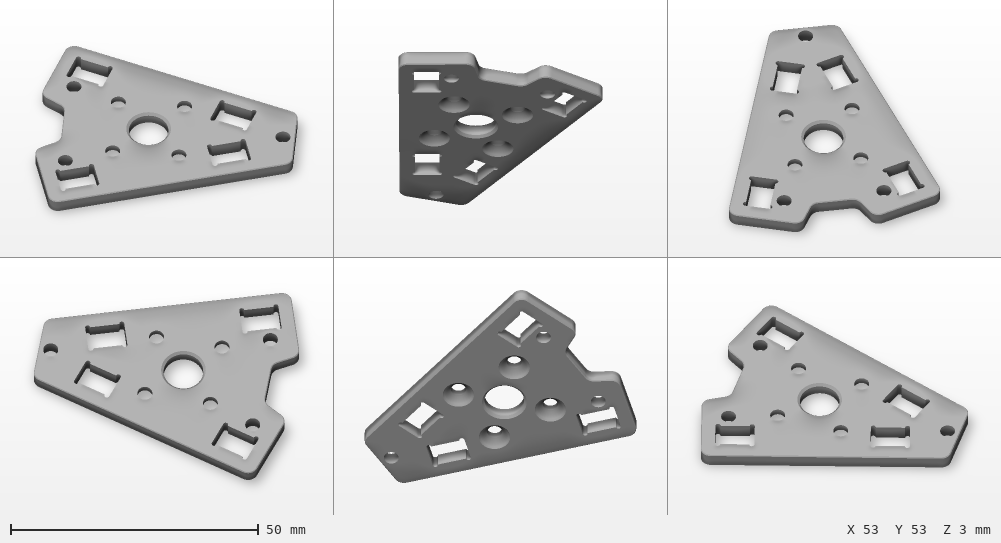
import cadquery as cq
import math

thickness = 3.0
corner_radius = 2.0
edge_chamfer = 0.185

side_angle = 27.5
side_distance = 15.5
arm_end_distance = 23.8
tip_distance = 29.7
notch_floor_distance = 17.4
notch_flank_angle = 15.0
notch_flank_distance = 4.75

bore_diameter = 8.0
bore_chamfer = 0.505
hole_diameter = 3.0
countersink_diameter = 6.3
bolt_cross_radius = 9.5
tip_hole_offset = 19.25
arm_hole = (-18.5, -4.15)

pocket_length = 7.95
pocket_width = 5.0
relief_radius = 0.505
pocket_side_distance = 9.9
pocket_stations = (-16.95, 14.4)


def mirrored(point):
    """Reflect a point across the line Y = X."""
    return point[1], point[0]


def intersection(first, second):
    """Meeting point of two lines given as (normal angle, distance from origin)."""
    angle_1, distance_1 = math.radians(first[0]), first[1]
    angle_2, distance_2 = math.radians(second[0]), second[1]
    determinant = math.sin(angle_2 - angle_1)
    x = (distance_1 * math.sin(angle_2) - distance_2 * math.sin(angle_1)) / determinant
    y = (distance_2 * math.cos(angle_1) - distance_1 * math.cos(angle_2)) / determinant
    return x, y


def make_plate():
    tip = (45, tip_distance)
    side = (side_angle + 90, side_distance)
    arm_end = (side_angle + 180, arm_end_distance)
    notch_flank = (notch_flank_angle - 90, notch_flank_distance)
    notch_floor = (225, notch_floor_distance)
    edges = (tip, side, arm_end, notch_flank, notch_floor)
    half = [intersection(a, b) for a, b in zip(edges, edges[1:])]
    outline = half + [mirrored(point) for point in reversed(half)]
    plate = cq.Workplane("XY").polyline(outline).close().extrude(thickness)
    plate = plate.edges("|Z").fillet(corner_radius)
    return plate.faces("<Z or >Z").edges().chamfer(edge_chamfer)


def make_countersink(inner_radius, depth):
    """45 degree cone cutter, widest at Z = 0 and narrowing upward to inner_radius."""
    return cq.Workplane(cq.Solid.makeCone(inner_radius + depth, inner_radius, depth))


def drill_holes(plate):
    r = bolt_cross_radius
    cross = [(r, 0), (0, r), (-r, 0), (0, -r)]
    centers = cross + [(tip_hole_offset, tip_hole_offset), arm_hole, mirrored(arm_hole)]
    holes = cq.Workplane("XY").pushPoints(centers).circle(hole_diameter / 2).extrude(thickness)
    plate = plate.cut(holes)
    countersink_depth = (countersink_diameter - hole_diameter) / 2
    countersink = make_countersink(hole_diameter / 2, countersink_depth)
    for x, y in cross:
        plate = plate.cut(countersink.translate((x, y, 0)))
    return plate


def cut_bore(plate):
    bore = cq.Workplane("XY").circle(bore_diameter / 2).extrude(thickness)
    lower_chamfer = make_countersink(bore_diameter / 2, bore_chamfer)
    upper_chamfer = lower_chamfer.mirror("XY").translate((0, 0, thickness))
    return plate.cut(bore).cut(lower_chamfer).cut(upper_chamfer)


def make_pocket():
    """Pocket cutter centred on the origin, with its length along X."""
    relief_x = pocket_length / 2 - relief_radius
    relief_y = pocket_width / 2
    reliefs = [(sx * relief_x, sy * relief_y) for sx in (-1, 1) for sy in (-1, 1)]
    block = cq.Workplane("XY").rect(pocket_length, pocket_width).extrude(thickness)
    corners = cq.Workplane("XY").pushPoints(reliefs).circle(relief_radius).extrude(thickness)
    return block.union(corners)


def cut_pockets(plate):
    for station in pocket_stations:
        placed = make_pocket().translate((station, pocket_side_distance, 0))
        upper = placed.rotate((0, 0, 0), (0, 0, 1), side_angle)
        lower = placed.mirror("XZ").rotate((0, 0, 0), (0, 0, 1), 90 - side_angle)
        plate = plate.cut(upper).cut(lower)
    return plate


result = cut_pockets(cut_bore(drill_holes(make_plate())))